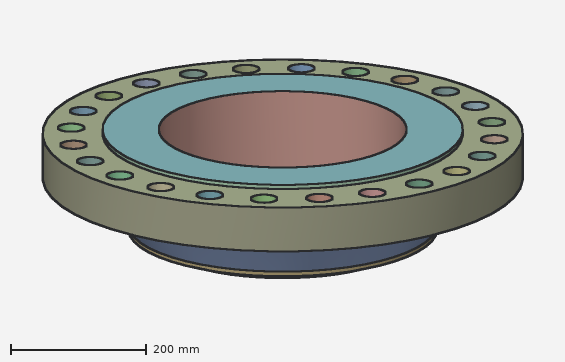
import cadquery as cq

flange_diameter = 711.0
total_height = 171.5
bore_diameter = 367.0

face_diameter = 533.5
face_height = 6.5
plate_thickness = 68.0

hub_top_diameter = 532.0
hub_end_diameter = 458.0
hub_taper_height = 72.5
hub_fillet_radius = 10.0
hub_land_height = 7.0

shallow_bevel_height = 5.0
bevel_break_diameter = 404.0
root_diameter = 371.0

bolt_count = 24
bolt_circle_diameter = 629.0
bolt_hole_diameter = 39.0

plate_top = total_height - face_height
plate_bottom = plate_top - plate_thickness
taper_bottom = plate_bottom - hub_taper_height
land_bottom = taper_bottom - hub_land_height
bevel_break = land_bottom - shallow_bevel_height


def make_plate():
    """Flange disc with its raised face."""
    disc = cq.Workplane("XY", origin=(0, 0, plate_bottom)).circle(flange_diameter / 2).extrude(plate_thickness)
    return disc.faces(">Z").workplane().circle(face_diameter / 2).extrude(face_height)


def make_hub():
    """Revolved hub with the weld bevels at its lower end."""
    profile = [
        (0, plate_bottom),
        (hub_top_diameter / 2, plate_bottom),
        (hub_end_diameter / 2, taper_bottom),
        (hub_end_diameter / 2, land_bottom),
        (bevel_break_diameter / 2, bevel_break),
        (root_diameter / 2, 0),
        (0, 0),
    ]
    return cq.Workplane("XZ").polyline(profile).close().revolve(360, (0, 0, 0), (0, 1, 0))


def fillet_hub(body):
    """Round the inner corner between the hub and the underside of the plate."""
    margin = 1.0
    reach = hub_top_diameter / 2 + margin
    corner = cq.selectors.BoxSelector(
        (-reach, -reach, plate_bottom - margin),
        (reach, reach, plate_bottom + margin),
        boundingbox=True,
    )
    return body.edges(corner).fillet(hub_fillet_radius)


def make_bolt_holes():
    """Cutters for the bolt holes, the first one on the X axis."""
    return (
        cq.Workplane("XY")
        .polarArray(bolt_circle_diameter / 2, 0, 360, bolt_count)
        .circle(bolt_hole_diameter / 2)
        .extrude(total_height)
    )


bore = cq.Workplane("XY").circle(bore_diameter / 2).extrude(total_height)
body = fillet_hub(make_plate().union(make_hub()))
result = body.cut(bore).cut(make_bolt_holes())